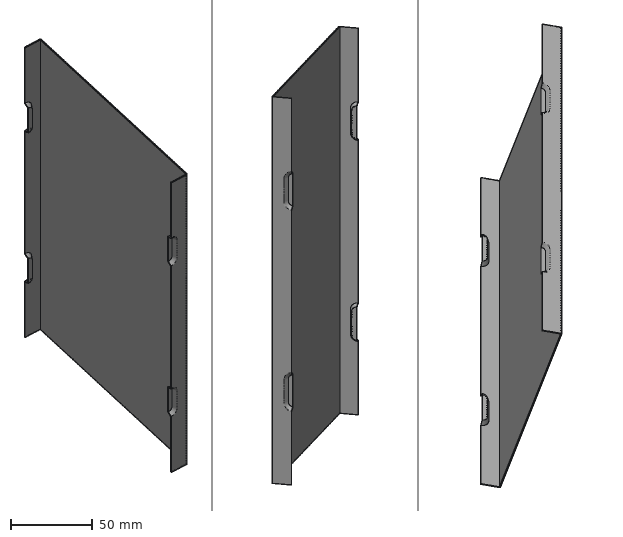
import cadquery as cq
import math

width = 150.0
depth = 12.5
height = 250.0
sheet = 0.8
bend_radius = sheet

dimple_offset = 65.0
straight_length = 15.0
rim_radius = 4.5
rim_rounding = 1.0
floor_radius = 2.8
recess_depth = 3.2

wall_slope = (rim_radius - floor_radius) / recess_depth
wall_shift = sheet * math.sqrt(1 + wall_slope ** 2)
front = -depth / 2
left = -width / 2


def tapered_slot(start, end, start_radius, end_radius, centre_z):
    """Slot tapering between two distances inward from the left face, centred on the free edge."""
    return (
        cq.Workplane("YZ", origin=(left + start, front, centre_z))
        .slot2D(straight_length + 2 * start_radius, 2 * start_radius, 90)
        .workplane(offset=end - start)
        .slot2D(straight_length + 2 * end_radius, 2 * end_radius, 90)
        .loft(ruled=True)
    )


def recess(centre_z):
    return tapered_slot(0, recess_depth, rim_radius, floor_radius, centre_z)


def bulge(centre_z):
    """Inward face of the pressed sheet, parallel to the recess."""
    bulge_depth = recess_depth + sheet
    base_radius = rim_radius + wall_shift
    top_radius = base_radius - wall_slope * bulge_depth
    return tapered_slot(0, bulge_depth, base_radius, top_radius, centre_z)


envelope = cq.Workplane("XY").box(width, depth, height).edges("|Z and >Y").fillet(bend_radius)
inside = cq.Workplane("XY").box(width - 2 * sheet, depth, height).translate((0, -sheet, 0))
result = envelope.cut(inside)

for centre_z in (-dimple_offset, dimple_offset):
    left_bulge = bulge(centre_z)
    left_recess = recess(centre_z)
    result = result.union(left_bulge).union(left_bulge.mirror("YZ"))
    result = result.cut(left_recess).cut(left_recess.mirror("YZ"))

result = result.intersect(envelope)

free_edge_gap = sheet
half_rim = straight_length / 2 + rim_radius
for side in (-1, 1):
    for centre_z in (-dimple_offset, dimple_offset):
        rim_box = cq.selectors.BoxSelector(
            (side * width / 2 - sheet / 2, front + free_edge_gap, centre_z - half_rim),
            (side * width / 2 + sheet / 2, front + 2 * rim_radius, centre_z + half_rim),
        )
        result = result.edges(rim_box).fillet(rim_rounding)